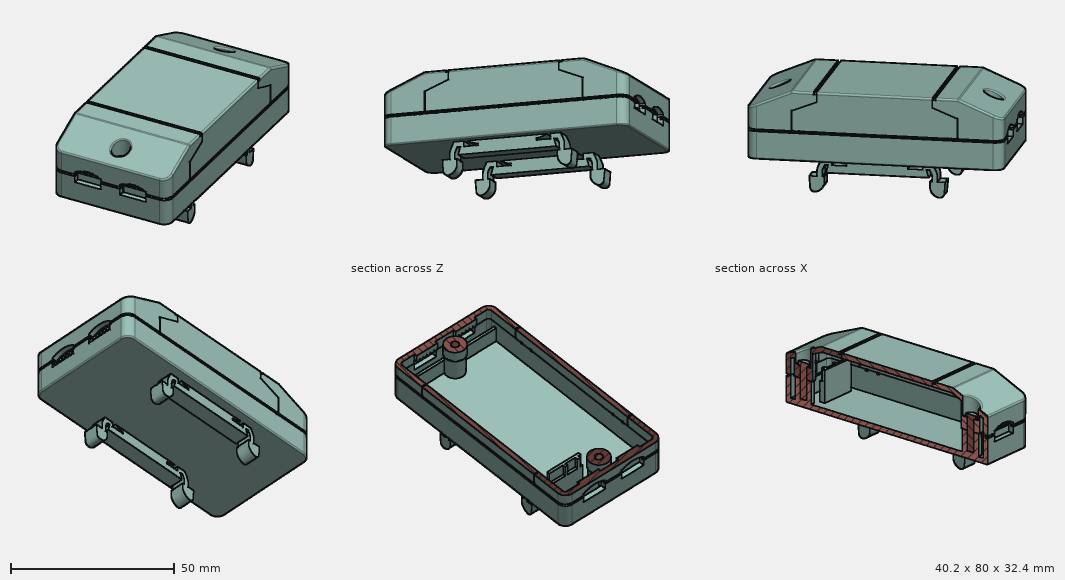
import cadquery as cq
import math

LENGTH = 80.0
WIDTH = 40.2
BASE_TOP = 8.8
SEAM = 0.7
UPPER_BOTTOM = BASE_TOP + SEAM
TOP = 22.1
WALL = 1.9
CORNER_RADIUS = 3.0
EDGE_RADIUS = 0.6
BOTTOM_RADIUS = 0.5
CREASE_RADIUS = 1.3

HALF_LENGTH = LENGTH / 2
HALF_WIDTH = WIDTH / 2

SLOPE_START = 26.1
END_HEIGHT = 16.2
SLOPE_ANGLE = math.atan2(TOP - END_HEIGHT, HALF_LENGTH - SLOPE_START)
STEEPEST_ROOF = 60.0
SELECTION_MARGIN = 0.1

JOINT_TOP = 18.1
JOINT_FOOT = 25.75
JOINT_HIGH = 18.95
JOINT_LOW = 15.9
JOINT_GAP = 0.2
TOP_SLOT_WIDTH = 0.95
TOP_SLOT_DEPTH = 0.7

LIP_INSET = 0.95
LIP_SLOT_WIDTH = 0.95
LIP_SLOT_DEPTH = 0.7
LIP_SLOT_CENTERS = (18.8, 23.3)

WINDOW_OFFSET = 7.8
WINDOW_WIDTH = 8.95
WINDOW_SILL = 6.7
WINDOW_SHOULDER = 10.2
WINDOW_CROWN = 11.5

GRIP_OFFSET = 8.0
GRIP_THICKNESS = 0.95
TOOTH_PITCH = 1.4
TOOTH_COUNT = 6
TOOTH_TIP = 10.2
TOOTH_ROOT = 11.1
TOOTH_FLAT = 0.4

PARTITION_Y = 35.2
PARTITION_THICKNESS = 0.95
PARTITION_TOP = 7.4
SCREEN_Y = -28.8
SCREEN_LOW = 8.9
SCREEN_TOP = 12.8
SCREEN_WIDTH = 12.8
SCREEN_CENTER = -9.6
SCREEN_POSTS = ((-9.8, 0.95), (-4.7, 1.3))

SCREW_Y = 33.2
BORE_RADIUS = 2.95
BORE_FLOOR = 13.8
BORE_EDGE_RADIUS = 0.5
CAP_BOSS_RADIUS = 3.75
BASE_BOSS_RADIUS = 3.35
HEAD_RADIUS = 2.1
HEAD_HEIGHT = 1.2
HEAD_EDGE_RADIUS = 0.4
SHANK_RADIUS = 1.2
SCREW_TIP = WALL + 0.8

CLIP_X = 14.15
CLIP_Y = 0.15
CLIP_WIDTH = 5.0
BAR_BOTTOM = -4.15
BAR_END = 16.1
BAR_SHOULDER = 15.35
RELIEF_CEILING = -1.7
WINDOW_INNER = 9.6
WINDOW_OUTER = 14.15
TONGUE_START = 12.9
TONGUE_BOTTOM = -1.0
ARM_ROOT_INNER = 16.3
ARM_ROOT_OUTER = 17.5
ARM_INNER = 17.1
ARM_OUTER = 18.8
ARM_BEND = -3.7
HOOK_SHELF = -5.35
HOOK_TIP = 21.2
HOOK_TOE = 20.95
CLIP_BOTTOM = -10.3
TOE_RADIUS = 1.4
HEEL_RADIUS = 3.0


def rounded_block(bottom, top, inset):
    """Box standing inside the housing outline, with rounded upright edges."""
    return (
        cq.Workplane("XY", origin=(0, 0, bottom))
        .rect(WIDTH - 2 * inset, LENGTH - 2 * inset)
        .extrude(top - bottom)
        .edges("|Z")
        .fillet(CORNER_RADIUS - inset)
    )


def across(points, width):
    """Closed (y, z) outline extruded along X, centred on X = 0."""
    return cq.Workplane("YZ").polyline(points).close().extrude(width / 2, both=True)


def box(x, y, bottom, size_x, size_y, top):
    return (
        cq.Workplane("XY", origin=(x, y, bottom))
        .rect(size_x, size_y)
        .extrude(top - bottom)
    )


def cylinder(y, radius, bottom, top):
    return cq.Workplane("XY", origin=(0, y, bottom)).circle(radius).extrude(top - bottom)


def roof_outline(inset):
    """Outline of the upper shell, moved inwards by the given distance."""
    ridge = SLOPE_START - inset * math.tan(SLOPE_ANGLE / 2)
    end = HALF_LENGTH - inset
    eave = END_HEIGHT - inset / math.cos(SLOPE_ANGLE) + inset * math.tan(SLOPE_ANGLE)
    return [
        (-end, UPPER_BOTTOM),
        (-end, eave),
        (-ridge, TOP - inset),
        (ridge, TOP - inset),
        (end, eave),
        (end, UPPER_BOTTOM),
    ]


def roof_block(inset):
    upright = rounded_block(UPPER_BOTTOM, TOP, inset)
    return upright.intersect(across(roof_outline(inset), WIDTH))


def window_cutter():
    """All four cable windows: flat sill, upright sides and an arched head."""
    half = WINDOW_WIDTH / 2
    cutter = cq.Workplane("XY")
    for end in (-1, 1):
        for side in (-1, 1):
            wall_middle = end * (HALF_LENGTH - WALL / 2)
            middle = cq.Workplane("XZ", origin=(side * WINDOW_OFFSET, wall_middle, 0))
            cutter = cutter.add(
                middle.moveTo(-half, WINDOW_SILL)
                .lineTo(half, WINDOW_SILL)
                .lineTo(half, WINDOW_SHOULDER)
                .threePointArc((0, WINDOW_CROWN), (-half, WINDOW_SHOULDER))
                .close()
                .extrude(WALL / 2, both=True)
            )
    return cutter.combine()


def grip(side, end):
    """Plate with a toothed lower edge, standing against the inside of an end wall."""
    half_flat = TOOTH_FLAT / 2
    first = -(TOOTH_COUNT - 1) / 2 * TOOTH_PITCH
    half = TOOTH_COUNT * TOOTH_PITCH / 2
    points = [(-half, TOP), (-half, TOOTH_ROOT)]
    for i in range(TOOTH_COUNT):
        x = first + i * TOOTH_PITCH
        points += [(x - half_flat, TOOTH_TIP), (x + half_flat, TOOTH_TIP), (x + TOOTH_PITCH / 2, TOOTH_ROOT)]
    points.append((half, TOP))
    y = end * (HALF_LENGTH - WALL - GRIP_THICKNESS / 2)
    return (
        cq.Workplane("XZ", origin=(side * GRIP_OFFSET, y, 0))
        .polyline(points)
        .close()
        .extrude(GRIP_THICKNESS / 2, both=True)
    )


def leans_up(face):
    return face.normalAt().z > math.cos(math.radians(STEEPEST_ROOF))


def solid_roof():
    roof = roof_block(0)
    creases = cq.selectors.BoxSelector(
        (-WIDTH, -HALF_LENGTH, TOP - SELECTION_MARGIN), (WIDTH, HALF_LENGTH, TOP + SELECTION_MARGIN)
    )
    roof = roof.edges("|X").edges(creases).fillet(CREASE_RADIUS)
    wall_edges = set()
    for face in roof.faces().vals():
        if not leans_up(face):
            wall_edges.update(edge.hashCode() for edge in face.Edges())
    rim = []
    for face in roof.faces().vals():
        if leans_up(face):
            rim += [edge for edge in face.Edges() if edge.hashCode() in wall_edges]
    return roof.newObject(rim).fillet(EDGE_RADIUS)


def cover_region():
    half = [
        (JOINT_TOP, TOP),
        (JOINT_TOP, JOINT_HIGH),
        (JOINT_FOOT, JOINT_LOW),
        (JOINT_FOOT, UPPER_BOTTOM),
    ]
    mirrored = [(-y, z) for y, z in reversed(half)]
    return across(half + mirrored, WIDTH)


def cap_region(end):
    foot = JOINT_FOOT + JOINT_GAP
    outline = [
        (foot, UPPER_BOTTOM), (foot, JOINT_LOW), (JOINT_FOOT, JOINT_LOW), (JOINT_TOP, JOINT_HIGH),
        (JOINT_TOP, TOP), (HALF_LENGTH, TOP), (HALF_LENGTH, UPPER_BOTTOM),
    ]
    return across([(end * y, z) for y, z in outline], WIDTH)


def make_cover(roof):
    return roof.cut(roof_block(WALL)).intersect(cover_region())


def make_cap(roof, end):
    fittings = cylinder(end * SCREW_Y, CAP_BOSS_RADIUS, UPPER_BOTTOM, TOP)
    for side in (-1, 1):
        fittings = fittings.union(grip(side, end))
    cap = roof.cut(roof_block(WALL)).union(fittings.intersect(roof)).intersect(cap_region(end))
    cap = cap.cut(window_cutter())
    slot_y = end * (JOINT_TOP + TOP_SLOT_WIDTH / 2)
    cap = cap.cut(box(0, slot_y, TOP - TOP_SLOT_DEPTH, WIDTH, TOP_SLOT_WIDTH, TOP))
    cap = cap.cut(cylinder(end * SCREW_Y, BORE_RADIUS, BORE_FLOOR, TOP))
    mouth = cq.selectors.BoxSelector(
        (-CAP_BOSS_RADIUS, end * SCREW_Y - CAP_BOSS_RADIUS, END_HEIGHT),
        (CAP_BOSS_RADIUS, end * SCREW_Y + CAP_BOSS_RADIUS, TOP),
    )
    cap = cap.edges(mouth).edges("not %LINE").edges(">Z").fillet(BORE_EDGE_RADIUS)
    return cap.cut(cylinder(end * SCREW_Y, SHANK_RADIUS, UPPER_BOTTOM, BORE_FLOOR))


def make_base():
    base = rounded_block(0, BASE_TOP, 0).faces("<Z").edges().fillet(BOTTOM_RADIUS)
    base = base.union(rounded_block(BASE_TOP, UPPER_BOTTOM, LIP_INSET))
    base = base.cut(rounded_block(WALL, UPPER_BOTTOM, WALL))
    for end in (-1, 1):
        for slot in LIP_SLOT_CENTERS:
            for side in (-1, 1):
                x = side * (HALF_WIDTH - LIP_INSET - LIP_SLOT_DEPTH / 2)
                notch = box(x, end * slot, BASE_TOP, LIP_SLOT_DEPTH, LIP_SLOT_WIDTH, UPPER_BOTTOM)
                base = base.cut(notch)
        inner_width = WIDTH - 2 * WALL
        partition = box(0, end * PARTITION_Y, WALL, inner_width, PARTITION_THICKNESS, PARTITION_TOP)
        boss = cylinder(end * SCREW_Y, BASE_BOSS_RADIUS, WALL, UPPER_BOTTOM)
        base = base.union(partition).union(boss)
        base = base.cut(cylinder(end * SCREW_Y, SHANK_RADIUS, SCREW_TIP, UPPER_BOTTOM))
    return base.union(screen()).cut(window_cutter())


def screen():
    """Wall across the inside behind one front window, with two posts on its face."""
    back_y = SCREEN_Y + PARTITION_THICKNESS
    wall = box(SCREEN_CENTER, back_y, WALL, SCREEN_WIDTH, PARTITION_THICKNESS, SCREEN_TOP)
    wall = wall.union(box(SCREEN_CENTER, SCREEN_Y, WALL, SCREEN_WIDTH, PARTITION_THICKNESS, SCREEN_LOW))
    for x, width in SCREEN_POSTS:
        wall = wall.union(box(x, SCREEN_Y, WALL, width, PARTITION_THICKNESS, SCREEN_TOP))
    return wall


def make_screw(end):
    head = cylinder(end * SCREW_Y, HEAD_RADIUS, BORE_FLOOR, BORE_FLOOR + HEAD_HEIGHT)
    head = head.faces(">Z").edges().fillet(HEAD_EDGE_RADIUS)
    return head.union(cylinder(end * SCREW_Y, SHANK_RADIUS, SCREW_TIP, BORE_FLOOR))


def tongue_profile(share):
    """Point on the smooth underside of the tongue, from its tip (0) to the housing (1)."""
    y = WINDOW_INNER + share * (TONGUE_START - WINDOW_INNER)
    return y, TONGUE_BOTTOM * (1 - share ** 2)


def clip_half():
    """Half of the clip: tongue, bar, slanting arm and hooked foot with a round tip."""
    foot_middle = HOOK_TOE - TOE_RADIUS
    heel = foot_middle - HEEL_RADIUS
    hook = [
        (HOOK_TOE, CLIP_BOTTOM + TOE_RADIUS),
        (foot_middle, CLIP_BOTTOM),
        (heel, CLIP_BOTTOM + HEEL_RADIUS),
        (heel, HOOK_SHELF),
    ]
    down, up, inward = (0, -1), (0, 1), (-1, 0)
    slant_outer = (ARM_OUTER - ARM_ROOT_OUTER, ARM_BEND)
    slant_inner = (ARM_ROOT_INNER - ARM_INNER, RELIEF_CEILING - ARM_BEND)
    return (
        cq.Workplane("YZ", origin=(-CLIP_WIDTH / 2, 0, 0))
        .moveTo(0, 0)
        .lineTo(TONGUE_START, 0)
        .threePointArc(tongue_profile(0.5), tongue_profile(0))
        .lineTo(WINDOW_INNER, RELIEF_CEILING)
        .lineTo(WINDOW_OUTER, RELIEF_CEILING)
        .lineTo(WINDOW_OUTER, 0)
        .lineTo(ARM_ROOT_OUTER, 0)
        .spline(
            [(ARM_OUTER, ARM_BEND), (ARM_OUTER, HOOK_SHELF)],
            tangents=[slant_outer, down, down],
            includeCurrent=True,
        )
        .lineTo(HOOK_TIP, HOOK_SHELF)
        .spline(hook, tangents=[down, down, inward, up, up], includeCurrent=True)
        .lineTo(ARM_INNER, HOOK_SHELF)
        .spline(
            [(ARM_INNER, ARM_BEND), (ARM_ROOT_INNER, RELIEF_CEILING)],
            tangents=[up, up, slant_inner],
            includeCurrent=True,
        )
        .lineTo(BAR_SHOULDER, RELIEF_CEILING)
        .lineTo(BAR_END, BAR_BOTTOM)
        .lineTo(0, BAR_BOTTOM)
        .close()
        .extrude(CLIP_WIDTH)
    )


def make_clip(side):
    half = clip_half()
    return half.union(half.mirror("XZ")).translate((side * CLIP_X, CLIP_Y, 0))


upper = solid_roof()
base = make_base()
cover = make_cover(upper)
caps = [make_cap(upper, end) for end in (-1, 1)]
screws = [make_screw(end) for end in (-1, 1)]
clips = [make_clip(side) for side in (-1, 1)]

bodies = [base, cover, *caps, *screws, *clips]
result = cq.Compound.makeCompound([body.val() for body in bodies])